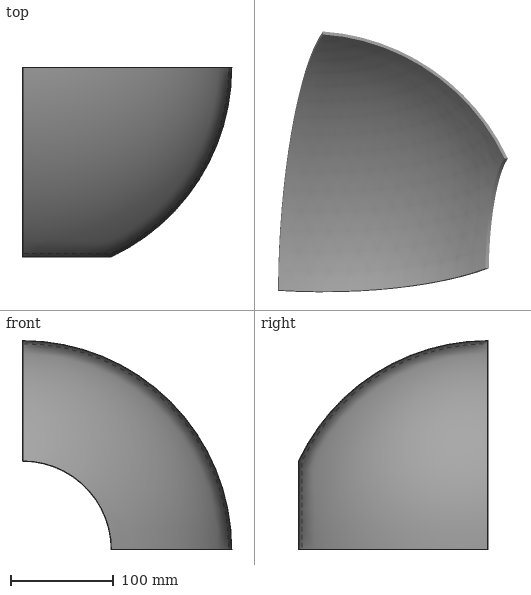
import cadquery as cq

outer_radius = 203.0
wall_thickness = 3.0
opening_radius = 85.9

inner_radius = outer_radius - wall_thickness


def octant_ball(radius):
    """Eighth of a ball filling +X, -Y, +Z, centred on the origin."""
    ball = cq.Workplane("XY").sphere(radius)
    corner = cq.Workplane("XY").box(radius, radius, radius, centered=False)
    return ball.intersect(corner.translate((0, -radius, 0)))


shell = octant_ball(outer_radius).cut(cq.Workplane("XY").sphere(inner_radius))

opening = cq.Workplane("XZ").circle(opening_radius).extrude(outer_radius)

result = shell.cut(opening)